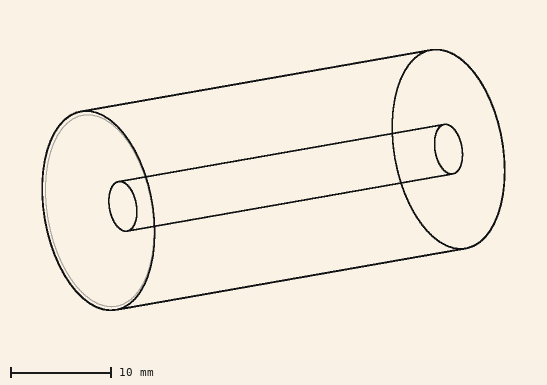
import cadquery as cq

length = 41.9
outer_diameter = 20.0
bore_diameter = 5.0
lip_width = 0.38
lip_depth = 0.13
cone_depth = 2.95

outer_radius = outer_diameter / 2
bore_radius = bore_diameter / 2
cone_radius = outer_radius - lip_width
front_y = -length / 2
back_y = length / 2

half_section = (
    cq.Workplane("XY")
    .moveTo(bore_radius, front_y + cone_depth)
    .lineTo(cone_radius, front_y + lip_depth)
    .lineTo(outer_radius, front_y)
    .lineTo(outer_radius, back_y)
    .lineTo(bore_radius, back_y)
    .close()
)

result = half_section.revolve(360, (0, 0, 0), (0, 1, 0))